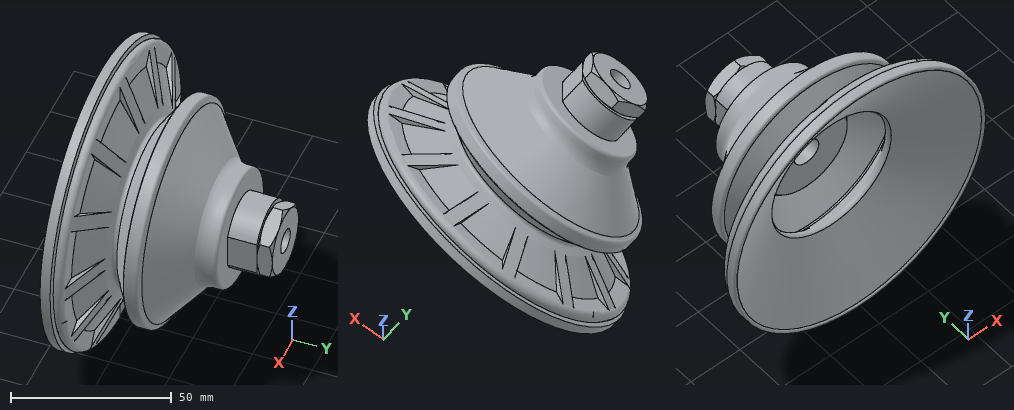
import cadquery as cq
import math


TOTAL_HEIGHT = 62.0
LIP_BAND_END = 3.7
RIM_START = 4.1
RIM_TOP = 7.5
SKIRT_TOP = 14.9
NECK_HEIGHT = 15.9
NECK_END_HEIGHT = 16.6
FLANK_LOW_HEIGHT = 18.2
BELLY_START = 22.5
BELLY_TOP = 27.7
CONE_START = 28.1
SHOULDER_START = 40.0
COLLAR_START = 43.5
COLLAR_TOP = 47.0
HEX_START = 56.8

LIP_RADIUS = 103.0 / 2
LIP_INNER_RADIUS = 50.0
LIP_ROUND = (LIP_RADIUS - LIP_INNER_RADIUS) / 2
RIM_RADIUS = 50.5
RIM_ROUND = 2.0
SKIRT_LOW_RADIUS = RIM_RADIUS - RIM_ROUND
SKIRT_TOP_RADIUS = 28.4
NECK_RADIUS = 27.7
NECK_END_RADIUS = 27.9
FLANK_LOW_RADIUS = 30.5
FLANK_HIGH_RADIUS = 36.6
BELLY_RADIUS = 76.0 / 2
BELLY_ROUND = 1.0
CONE_LOW_RADIUS = 35.7
SHOULDER_RADIUS = 21.2
COLLAR_RADIUS = 40.0 / 2
COLLAR_ROUND = 1.2

MOUTH_RADIUS = 24.4
MOUTH_HEIGHT = 14.0
THROAT_RADIUS = 23.8
THROAT_END = 16.8
CAVITY_RADIUS = 34.5
CAVITY_LOW_HEIGHT = 24.2
CAVITY_HIGH_HEIGHT = 24.9
FLANGE_RADIUS = 23.0
FLANGE_HEIGHT = 34.5
PLUG_RADIUS = 19.5
PLUG_FILLET = 2.5
PLUG_FACE_RADIUS = 16.6
PLUG_FACE_HEIGHT = 26.0
PLUG_CONE_HEIGHT = 3.6

RIB_COUNT = 12
RIB_WIDTH = 5.0
RECESS_TOP_RADIUS = 31.2
RECESS_FLOOR_RADIUS = 43.2

ACROSS_FLATS = 22.0
SHANK_DIAMETER = 25.0
HEX_CHAMFER_ANGLE = math.radians(30)
BORE_DIAMETER = 8.0
COUNTERBORE_DIAMETER = 10.0
COUNTERBORE_DEPTH = 12.0
BORE_CHAMFER = 0.4


def revolve_about_y(profile):
    return profile.close().revolve(360, (0, 0, 0), (0, 1, 0))


def cylinder(diameter, start, end):
    """Cylinder on the Y axis between two heights."""
    return cq.Workplane("XZ", origin=(0, start, 0)).circle(diameter / 2).extrude(start - end)


def skirt_height(radius):
    """Height of the conical back of the skirt at a radius."""
    slope = (SKIRT_TOP - RIM_TOP) / (SKIRT_LOW_RADIUS - SKIRT_TOP_RADIUS)
    return RIM_TOP + (SKIRT_LOW_RADIUS - radius) * slope


def make_cup():
    """Revolved body: the outside from lip to collar, then the inside back to the lip."""
    rim_widest_height = RIM_TOP - RIM_ROUND
    rim_start_radius = SKIRT_LOW_RADIUS + math.sqrt(RIM_ROUND**2 - (rim_widest_height - RIM_START) ** 2)
    throat_middle = (THROAT_RADIUS, (MOUTH_HEIGHT + THROAT_END) / 2)
    collar_middle = (
        COLLAR_RADIUS + (SHOULDER_RADIUS - COLLAR_RADIUS) / 4,
        (SHOULDER_START + COLLAR_START) / 2,
    )
    plug_shoulder = PLUG_FACE_HEIGHT + PLUG_CONE_HEIGHT
    profile = (
        cq.Workplane("XY")
        .moveTo(LIP_RADIUS, LIP_ROUND)
        .lineTo(LIP_RADIUS, LIP_BAND_END)
        .lineTo(rim_start_radius, RIM_START)
        .threePointArc((RIM_RADIUS, rim_widest_height), (SKIRT_LOW_RADIUS, RIM_TOP))
        .lineTo(SKIRT_TOP_RADIUS, SKIRT_TOP)
        .threePointArc((NECK_RADIUS, NECK_HEIGHT), (NECK_END_RADIUS, NECK_END_HEIGHT))
        .lineTo(FLANK_LOW_RADIUS, FLANK_LOW_HEIGHT)
        .lineTo(FLANK_HIGH_RADIUS, BELLY_START)
        .lineTo(BELLY_RADIUS - BELLY_ROUND, BELLY_START)
        .radiusArc((BELLY_RADIUS, BELLY_START + BELLY_ROUND), -BELLY_ROUND)
        .lineTo(BELLY_RADIUS, BELLY_TOP - BELLY_ROUND)
        .radiusArc((BELLY_RADIUS - BELLY_ROUND, BELLY_TOP), -BELLY_ROUND)
        .lineTo(CONE_LOW_RADIUS, CONE_START)
        .lineTo(SHOULDER_RADIUS, SHOULDER_START)
        .threePointArc(collar_middle, (COLLAR_RADIUS, COLLAR_START))
        .lineTo(COLLAR_RADIUS, COLLAR_TOP - COLLAR_ROUND)
        .radiusArc((COLLAR_RADIUS - COLLAR_ROUND, COLLAR_TOP), -COLLAR_ROUND)
        .lineTo(0, COLLAR_TOP)
        .lineTo(0, PLUG_FACE_HEIGHT)
        .lineTo(PLUG_FACE_RADIUS, PLUG_FACE_HEIGHT)
        .lineTo(PLUG_RADIUS, plug_shoulder)
        .lineTo(PLUG_RADIUS, FLANGE_HEIGHT - PLUG_FILLET)
        .radiusArc((PLUG_RADIUS + PLUG_FILLET, FLANGE_HEIGHT), -PLUG_FILLET)
        .lineTo(FLANGE_RADIUS, FLANGE_HEIGHT)
        .lineTo(CAVITY_RADIUS, CAVITY_HIGH_HEIGHT)
        .lineTo(CAVITY_RADIUS, CAVITY_LOW_HEIGHT)
        .lineTo(MOUTH_RADIUS, THROAT_END)
        .threePointArc(throat_middle, (MOUTH_RADIUS, MOUTH_HEIGHT))
        .lineTo(LIP_INNER_RADIUS, LIP_ROUND)
        .threePointArc((LIP_RADIUS - LIP_ROUND, 0), (LIP_RADIUS, LIP_ROUND))
    )
    return revolve_about_y(profile)


def make_skirt_recesses():
    """Wedge-section ring on the skirt, interrupted by the ribs."""
    above = 1.0
    profile = (
        cq.Workplane("XY")
        .moveTo(RECESS_TOP_RADIUS, skirt_height(RECESS_TOP_RADIUS))
        .lineTo(RECESS_FLOOR_RADIUS, RIM_TOP)
        .lineTo(SKIRT_LOW_RADIUS, RIM_TOP)
        .lineTo(SKIRT_LOW_RADIUS, RIM_TOP + above)
    )
    ring = revolve_about_y(profile)
    rib = cq.Workplane("XY").box(
        RIB_WIDTH, TOTAL_HEIGHT, LIP_RADIUS, centered=(True, False, False)
    )
    for index in range(RIB_COUNT):
        ring = ring.cut(rib.rotate((0, 0, 0), (0, 1, 0), index * 360 / RIB_COUNT))
    return ring


def make_shank():
    shank = cylinder(SHANK_DIAMETER, FLANGE_HEIGHT, HEX_START)
    flats = cq.Workplane("XY").box(
        ACROSS_FLATS, TOTAL_HEIGHT, 2 * SHANK_DIAMETER, centered=(True, False, True)
    )
    return shank.intersect(flats)


def make_hex():
    """Hexagon with two flats facing X and both ends chamfered at the corners."""
    across_corners = ACROSS_FLATS / math.cos(math.pi / 6)
    flat_radius = ACROSS_FLATS / 2
    corner_radius = across_corners / 2
    chamfer = (corner_radius - flat_radius) * math.tan(HEX_CHAMFER_ANGLE)
    prism = (
        cq.Workplane("XZ", origin=(0, HEX_START, 0))
        .transformed(rotate=(0, 0, 90))
        .polygon(6, across_corners)
        .extrude(HEX_START - TOTAL_HEIGHT)
    )
    envelope = (
        cq.Workplane("XY")
        .moveTo(0, HEX_START)
        .lineTo(flat_radius, HEX_START)
        .lineTo(corner_radius, HEX_START + chamfer)
        .lineTo(corner_radius, TOTAL_HEIGHT - chamfer)
        .lineTo(flat_radius, TOTAL_HEIGHT)
        .lineTo(0, TOTAL_HEIGHT)
    )
    return prism.intersect(revolve_about_y(envelope))


def make_bore():
    """Through bore with a wider entry in the plug and a chamfered step between them."""
    step = PLUG_FACE_HEIGHT + COUNTERBORE_DEPTH
    profile = (
        cq.Workplane("XY")
        .lineTo(COUNTERBORE_DIAMETER / 2, 0)
        .lineTo(COUNTERBORE_DIAMETER / 2, step)
        .lineTo(BORE_DIAMETER / 2 + BORE_CHAMFER, step)
        .lineTo(BORE_DIAMETER / 2, step + BORE_CHAMFER)
        .lineTo(BORE_DIAMETER / 2, TOTAL_HEIGHT)
        .lineTo(0, TOTAL_HEIGHT)
    )
    return revolve_about_y(profile)


cup = make_cup().cut(make_skirt_recesses())
result = cup.union(make_shank()).union(make_hex()).cut(make_bore())